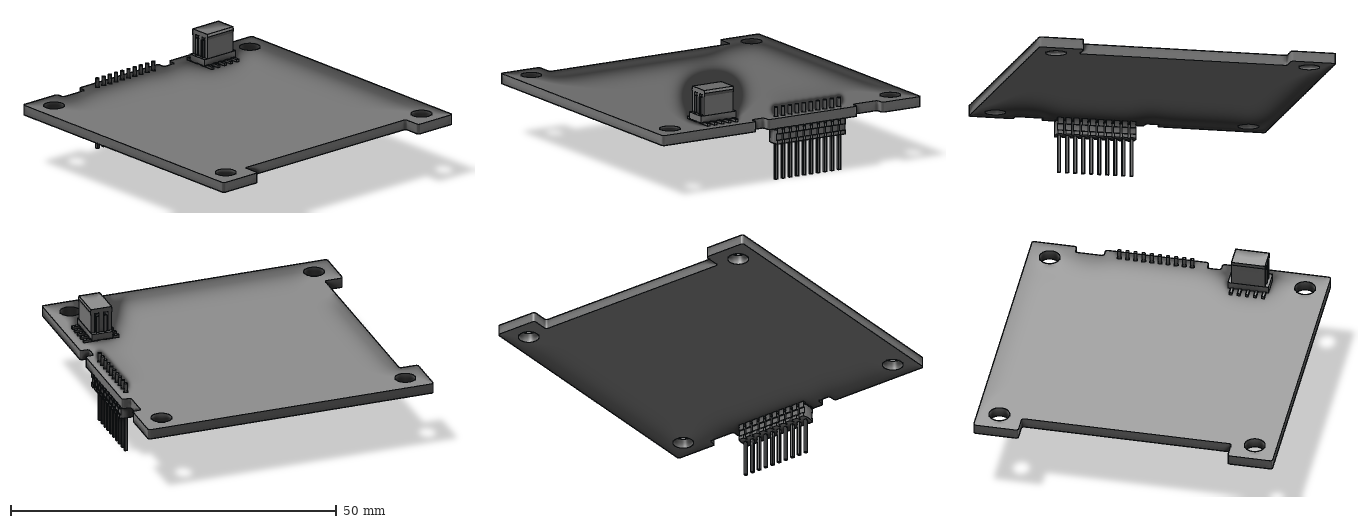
import cadquery as cq

BOARD_SIZE = 46.8
BOARD_THICKNESS = 1.6
CORNER_RADIUS = 0.4
MOUNT_HOLE_DIAMETER = 3.2
MOUNT_HOLE_SPACING = 40.0
CUT_DEPTH = 3.0
CUT_HALF_LENGTH = 16.4
NOTCH_DEPTH = 1.4
SMALL_NOTCH_TOP = 6.44
SMALL_NOTCH_BOTTOM = 4.25
LARGE_NOTCH_TOP = -11.9
LARGE_NOTCH_BOTTOM = -CUT_HALF_LENGTH

PITCH = 1.27

PIN_COUNT = 10
HEADER_X = -21.91
HEADER_Y = -3.75
PIN_WIDTH = 0.42
PIN_BOTTOM = -8.4
TAIL_DIAMETER = 0.51
TAIL_HOLE_DIAMETER = 0.66
TAIL_TOP = BOARD_THICKNESS + 1.4
HOUSING_WIDTH = 2.4
HOUSING_BOTTOM = -2.6
FOOT_HEIGHT = 0.4
FOOT_INNER_X = 0.6
SECTION_FLAT = 0.87
END_FLAT = 1.0
WAIST_DEPTH = 0.2
WAIST_HEIGHT = 1.0
WAIST_CENTER_Z = -1.5

CONNECTOR_X = -19.03
CONNECTOR_Y = 11.61
CONTACTS_PER_ROW = 5
CONNECTOR_WIDTH = 3.4
BASE_LENGTH = 6.35
BASE_BOTTOM = 0.3
BASE_TOP = 1.38
CONTACT_WIDTH = 0.44
CONTACT_TOP = 4.15
LEAD_SPAN = 5.8
LEAD_THICKNESS = 0.4
PEG_DIAMETER = 1.02
PEG_SPACING = 3 * PITCH

CAP_LENGTH = 5.25
CAP_TOP = 5.39
SLOT_INNER_X = 0.4
SLOT_OUTER_X = 1.08
SLOT_TOP = 4.6
RIDGE_DEPTH = 0.1
RIDGE_TOP = 5.34
RIDGE_PEAK = 4.95
RIDGE_BOTTOM = 4.4

SIDES = (-1, 1)


def box(x_range, y_range, z_range):
    """Box between the given limits, each listed in either order."""
    (x0, x1), (y0, y1), (z0, z1) = sorted(x_range), sorted(y_range), sorted(z_range)
    return cq.Workplane("XY").box(x1 - x0, y1 - y0, z1 - z0, centered=False).translate((x0, y0, z0))


def row(count, pitch):
    """Evenly spaced positions centred on zero."""
    return [(i - (count - 1) / 2) * pitch for i in range(count)]


pin_rows_y = row(PIN_COUNT, PITCH)


def build_board():
    half = BOARD_SIZE / 2
    cut_x = half - CUT_DEPTH
    notch_x = NOTCH_DEPTH - half
    outline = [
        (-half, -half),
        (half, -half),
        (half, -CUT_HALF_LENGTH),
        (cut_x, -CUT_HALF_LENGTH),
        (cut_x, CUT_HALF_LENGTH),
        (half, CUT_HALF_LENGTH),
        (half, half),
        (-half, half),
        (-half, SMALL_NOTCH_TOP),
        (notch_x, SMALL_NOTCH_TOP),
        (notch_x, SMALL_NOTCH_BOTTOM),
        (-half, SMALL_NOTCH_BOTTOM),
        (-half, LARGE_NOTCH_TOP),
        (notch_x, LARGE_NOTCH_TOP),
        (notch_x, LARGE_NOTCH_BOTTOM),
        (-half, LARGE_NOTCH_BOTTOM),
    ]
    plate = cq.Workplane("XY").polyline(outline).close().extrude(BOARD_THICKNESS)
    plate = plate.edges("|Z").fillet(CORNER_RADIUS)
    mount_holes = (
        cq.Workplane("XY")
        .rect(MOUNT_HOLE_SPACING, MOUNT_HOLE_SPACING, forConstruction=True)
        .vertices()
        .circle(MOUNT_HOLE_DIAMETER / 2)
        .extrude(BOARD_THICKNESS)
    )
    tail_holes = (
        cq.Workplane("XY")
        .pushPoints([(HEADER_X, HEADER_Y + y) for y in pin_rows_y])
        .circle(TAIL_HOLE_DIAMETER / 2)
        .extrude(BOARD_THICKNESS)
    )
    return plate.cut(mount_holes).cut(tail_holes)


def header_section():
    """One pin with its octagonal piece of housing, waisted on both long sides."""
    half_width = HOUSING_WIDTH / 2
    half_flat = SECTION_FLAT / 2
    half_end = END_FLAT / 2
    half_pitch = PITCH / 2
    quarter = [(half_width, half_flat), (half_end, half_pitch)]
    octagon = quarter + [(-x, y) for x, y in reversed(quarter)]
    octagon += [(-x, -y) for x, y in octagon]
    section = (
        cq.Workplane("XY", origin=(0, 0, HOUSING_BOTTOM))
        .polyline(octagon)
        .close()
        .extrude(-FOOT_HEIGHT - HOUSING_BOTTOM)
    )
    waist_z = (WAIST_CENTER_Z - WAIST_HEIGHT / 2, WAIST_CENTER_Z + WAIST_HEIGHT / 2)
    for side in SIDES:
        outer_x = side * half_width
        waist_x = (outer_x - side * WAIST_DEPTH, outer_x)
        section = section.cut(box(waist_x, (-half_pitch, half_pitch), waist_z))
        foot_x = (side * FOOT_INNER_X, outer_x)
        section = section.union(box(foot_x, (-half_flat, half_flat), (-FOOT_HEIGHT, 0)))

    half_pin = PIN_WIDTH / 2
    pin = box((-half_pin, half_pin), (-half_pin, half_pin), (PIN_BOTTOM, -FOOT_HEIGHT))
    tail = (
        cq.Workplane("XY", origin=(0, 0, -FOOT_HEIGHT))
        .circle(TAIL_DIAMETER / 2)
        .extrude(TAIL_TOP + FOOT_HEIGHT)
    )
    return section.union(pin).union(tail)


def build_header():
    section = header_section()
    header = cq.Workplane("XY")
    for y in pin_rows_y:
        header = header.union(section.translate((0, y, 0)))
    return header.translate((HEADER_X, HEADER_Y, 0))


def build_connector():
    half_width = CONNECTOR_WIDTH / 2
    half_length = BASE_LENGTH / 2
    half_contact = CONTACT_WIDTH / 2
    connector = box((-half_width, half_width), (-half_length, half_length), (BASE_BOTTOM, BASE_TOP))
    for y in row(CONTACTS_PER_ROW, PITCH):
        contact_y = (y - half_contact, y + half_contact)
        for side in SIDES:
            x = side * PITCH / 2
            contact_x = (x - half_contact, x + half_contact)
            connector = connector.union(box(contact_x, contact_y, (BASE_BOTTOM, CONTACT_TOP)))
            lead_x = (x - side * half_contact, side * LEAD_SPAN / 2)
            connector = connector.union(box(lead_x, contact_y, (0, LEAD_THICKNESS)))
    pegs = (
        cq.Workplane("XY")
        .pushPoints([(0, y) for y in row(2, PEG_SPACING)])
        .circle(PEG_DIAMETER / 2)
        .extrude(BASE_BOTTOM)
    )
    return connector.union(pegs).translate((CONNECTOR_X, CONNECTOR_Y, BOARD_THICKNESS))


def build_cap():
    half_width = CONNECTOR_WIDTH / 2
    cap_y = (-CAP_LENGTH / 2, CAP_LENGTH / 2)
    cap = box((-half_width, half_width), cap_y, (BASE_TOP, CAP_TOP))
    for side in SIDES:
        slot_x = (side * SLOT_INNER_X, side * SLOT_OUTER_X)
        cap = cap.cut(box(slot_x, cap_y, (BASE_TOP, SLOT_TOP)))
        ridge = (
            cq.Workplane("XZ", origin=(0, CAP_LENGTH / 2, 0))
            .moveTo(side * half_width, RIDGE_BOTTOM)
            .lineTo(side * (half_width + RIDGE_DEPTH), RIDGE_PEAK)
            .lineTo(side * half_width, RIDGE_TOP)
            .close()
            .extrude(CAP_LENGTH)
        )
        cap = cap.union(ridge)
    return cap.translate((CONNECTOR_X, CONNECTOR_Y, BOARD_THICKNESS))


board = build_board()
header = build_header()
connector = build_connector()
cap = build_cap()

result = cq.Compound.makeCompound([board.val(), header.val(), connector.val(), cap.val()])